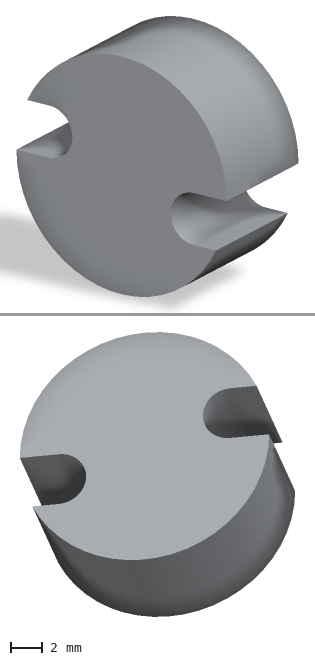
import cadquery as cq

diameter = 16.0
thickness = 8.0
slot_width = 3.5
slot_tip_offset = 3.75

radius = diameter / 2
slot_radius = slot_width / 2
slot_outer_end = radius + slot_width


def make_disc():
    """Disc with its axis along Y."""
    return cq.Workplane("XZ").circle(radius).extrude(thickness)


def make_left_slot():
    """Round-ended slot open at the -X rim, with its lower wall on the Z = 0 plane."""
    length = slot_outer_end - slot_tip_offset
    center_x = -(slot_outer_end + slot_tip_offset) / 2
    return (
        cq.Workplane("XZ")
        .center(center_x, slot_radius)
        .slot2D(length, slot_width)
        .extrude(thickness)
    )


left_slot = make_left_slot()
right_slot = left_slot.rotate((0, 0, 0), (0, 1, 0), 180)

result = make_disc().cut(left_slot).cut(right_slot)